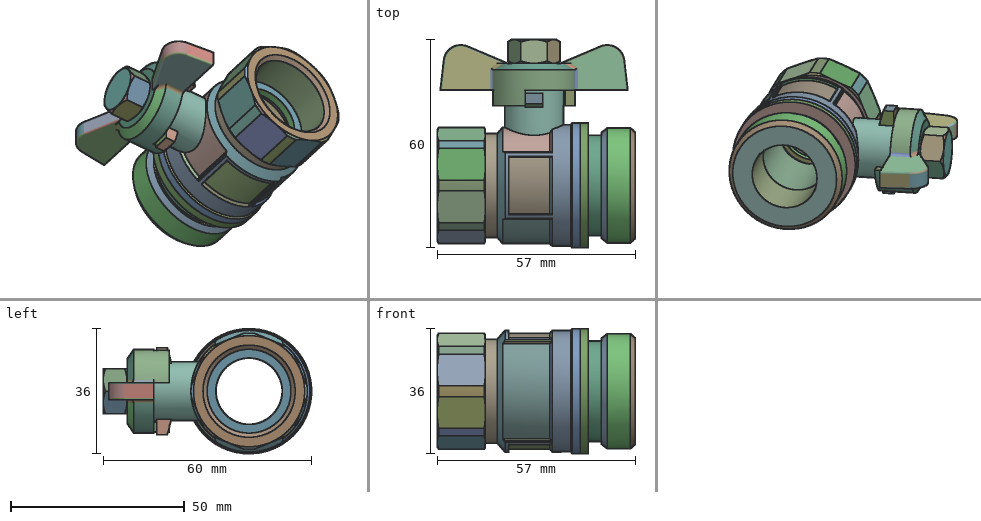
import cadquery as cq
import math


BORE_DIA = 19.0
THREAD_DIA = 24.1
THREAD_DEPTH = 12.25
THREAD_CHAMFER = 1.2
CHAMBER_DIA = 22.0
CHAMBER_START = 14.5
CHAMBER_CONE_START = 16.45

COLLAR_LENGTH = 13.8
COLLAR_FLATS = 8
COLLAR_ACROSS_FLATS = 32.0
COLLAR_DIA = 33.5
COLLAR_FRONT_DIA = 32.0
COLLAR_FRONT_CHAMFER = 0.4
COLLAR_BACK_DIA = 32.2
COLLAR_BACK_CHAMFER = 0.3
NECK_DIA = 30.0
NECK_END = 17.3
BARREL_START = 19.5
BARREL_DIA = 35.0
BARREL_END = 38.4
FLANGE_DIA = 36.0
FLANGE_CHAMFER = 0.4
SPLIT_X = 41.15

RECESS_DIA = 33.5
RECESS_START = 17.4
RECESS_END = 33.1
FRAME_WIDTH = 19.45
PANEL_WIDTH = 16.3
PANEL_START = 20.5
FRAME_FLARE_ANGLE = 30.0
FRAME_FLARE_START = 14.2
PANEL_FLARE_START = 15.0

STEM_X = 27.85
BOSS_DIA = 17.0
HANDLE_BOTTOM_Y = 27.4
STOP_WIDTH = 5.1
STOP_REACH = 12.55
STOP_TOP_Y = 26.6
STOP_OUTER_Y = 23.5
STOP_INNER_Y = 22.45

TAIL_FLANGE_END = 43.5
TAIL_NECK_DIA = 29.0
TAIL_NECK_END = 47.2
TAIL_DIA = 33.2
TAIL_SHOULDER_DIA = 30.5
TAIL_SHOULDER_END = 48.95
TAIL_CHAMFER_START = 55.55
TAIL_FACE_DIA = 30.5
TOTAL_LENGTH = 57.0

CAP_DIA = 24.1
CAP_TOP_DIA = 18.5
CAP_TOP_Y = 35.1
CAP_CHAMFER_Y = 33.25
SKIRT_BORE_DIA = 18.5
SKIRT_BOTTOM_Y = 22.9
SKIRT_OFFSET = 2.4
WING_THICKNESS = 5.0
WING_SPAN = 54.0
WING_TIP_X = 21.05
WING_TIP_Y = 40.45
WING_TIP_RADIUS = 5.0
WING_SLOPE = 23.0
WING_END_LEAN = 5.5
WING_EDGE_FILLET = 0.5
WING_ROOT_FILLET = 1.0

NUT_SIDES = 6
NUT_ACROSS_FLATS = 13.0
NUT_FACE_DIA = 12.9
NUT_CHAMFER_ANGLE = 33.0
NUT_TOP_Y = 42.0

SELECT_MARGIN = 0.3

PIPE_DIR = cq.Vector(1, 0, 0)
STEM_DIR = cq.Vector(0, 1, 0)


def pipe_revolve(profile):
    """Revolve a closed (x, radius) outline about the pipe axis."""
    return cq.Workplane("XY").polyline(profile).close().revolve(360, (0, 0, 0), (1, 0, 0))


def stem_revolve(profile):
    """Revolve a closed (radius, y) outline about the stem axis."""
    plane = cq.Workplane("XY", origin=(STEM_X, 0, 0))
    return plane.polyline(profile).close().revolve(360, (0, 0, 0), (0, 1, 0))


def pipe_cylinder(dia, start, end):
    return cq.Workplane(cq.Solid.makeCylinder(dia / 2, end - start, cq.Vector(start, 0, 0), PIPE_DIR))


def stem_cylinder(dia, start, end):
    return cq.Workplane(cq.Solid.makeCylinder(dia / 2, end - start, cq.Vector(STEM_X, start, 0), STEM_DIR))


def box(x_range, y_range, z_range):
    """Box given by its lower and upper limit along each axis."""
    sizes = [high - low for low, high in (x_range, y_range, z_range)]
    corner = cq.Vector(x_range[0], y_range[0], z_range[0])
    return cq.Workplane(cq.Solid.makeBox(*sizes, corner))


def make_collar():
    """Eight-sided wrench collar with rounded corners and chamfered ends."""
    corner_dia = COLLAR_ACROSS_FLATS / math.cos(math.pi / COLLAR_FLATS)
    prism = cq.Workplane("YZ").polygon(COLLAR_FLATS, corner_dia).extrude(COLLAR_LENGTH)
    envelope = pipe_revolve([
        (0, 0),
        (0, COLLAR_FRONT_DIA / 2),
        (COLLAR_FRONT_CHAMFER, COLLAR_DIA / 2),
        (COLLAR_LENGTH - COLLAR_BACK_CHAMFER, COLLAR_DIA / 2),
        (COLLAR_LENGTH, COLLAR_BACK_DIA / 2),
        (COLLAR_LENGTH, 0),
    ])
    return prism.intersect(envelope)


def make_barrel():
    """Neck, ball chamber barrel and the housing's half of the flange."""
    return pipe_revolve([
        (COLLAR_LENGTH, 0),
        (COLLAR_LENGTH, NECK_DIA / 2),
        (NECK_END, NECK_DIA / 2),
        (BARREL_START, BARREL_DIA / 2),
        (BARREL_END, BARREL_DIA / 2),
        (BARREL_END + FLANGE_CHAMFER, FLANGE_DIA / 2),
        (SPLIT_X, FLANGE_DIA / 2),
        (SPLIT_X, 0),
    ])


def flared_prism(start_x, width, flare_start, flare_angle):
    """Prism through the barrel along Z, up to the recess end, whose sides tilt outward
    by the flare angle (inward if negative) above and below the flare start."""
    half_width = width / 2
    top = BARREL_DIA / 2
    top_half = half_width + (top - flare_start) * math.tan(math.radians(flare_angle))
    return (
        cq.Workplane("YZ", origin=(start_x, 0, 0))
        .polyline([
            (-half_width, -flare_start),
            (-top_half, -top),
            (top_half, -top),
            (half_width, -flare_start),
            (half_width, flare_start),
            (top_half, top),
            (-top_half, top),
            (-half_width, flare_start),
        ])
        .close()
        .extrude(RECESS_END - start_x)
    )


def make_barrel_recess():
    """Shallow ring to cut from the barrel, leaving a raised frame above and below."""
    depth = (BARREL_DIA - RECESS_DIA) / 2
    ring = pipe_revolve([
        (RECESS_START, RECESS_DIA / 2),
        (RECESS_END - depth, RECESS_DIA / 2),
        (RECESS_END, BARREL_DIA / 2),
        (RECESS_END, BARREL_DIA),
        (RECESS_START, BARREL_DIA),
    ])
    frame = flared_prism(RECESS_START, FRAME_WIDTH, FRAME_FLARE_START, -FRAME_FLARE_ANGLE)
    panel = flared_prism(PANEL_START, PANEL_WIDTH, PANEL_FLARE_START, FRAME_FLARE_ANGLE)
    return ring.cut(frame.cut(panel))


def make_boss():
    """Stem boss with the two stops that limit the handle's turn."""
    boss = stem_cylinder(BOSS_DIA, 0, HANDLE_BOTTOM_Y)
    boss_radius = BOSS_DIA / 2
    stops = (
        cq.Workplane("YZ", origin=(STEM_X - STOP_WIDTH / 2, 0, 0))
        .polyline([
            (STOP_TOP_Y, -STOP_REACH),
            (STOP_TOP_Y, STOP_REACH),
            (STOP_OUTER_Y, STOP_REACH),
            (STOP_INNER_Y, boss_radius),
            (STOP_INNER_Y, -boss_radius),
            (STOP_OUTER_Y, -STOP_REACH),
        ])
        .close()
        .extrude(STOP_WIDTH)
    )
    return boss.union(stops)


def make_housing():
    """Housing with its threaded socket, the grooved chamber and the through bore."""
    housing = make_collar().union(make_barrel().cut(make_barrel_recess())).union(make_boss())
    chamber_end = CHAMBER_CONE_START + (CHAMBER_DIA - BORE_DIA) / 2
    thread = pipe_revolve([
        (0, 0),
        (0, THREAD_DIA / 2 + THREAD_CHAMFER),
        (THREAD_CHAMFER, THREAD_DIA / 2),
        (THREAD_DEPTH, THREAD_DIA / 2),
        (THREAD_DEPTH, 0),
    ])
    chamber = pipe_revolve([
        (CHAMBER_START, 0),
        (CHAMBER_START, CHAMBER_DIA / 2),
        (CHAMBER_CONE_START, CHAMBER_DIA / 2),
        (chamber_end, BORE_DIA / 2),
        (chamber_end, 0),
    ])
    return housing.cut(thread).cut(chamber).cut(pipe_cylinder(BORE_DIA, 0, SPLIT_X))


def make_tail():
    """Tail piece that closes the housing and carries the male end."""
    return pipe_revolve([
        (SPLIT_X, BORE_DIA / 2),
        (SPLIT_X, FLANGE_DIA / 2),
        (TAIL_FLANGE_END, FLANGE_DIA / 2),
        (TAIL_FLANGE_END, TAIL_NECK_DIA / 2),
        (TAIL_NECK_END, TAIL_NECK_DIA / 2),
        (TAIL_NECK_END, TAIL_SHOULDER_DIA / 2),
        (TAIL_SHOULDER_END, TAIL_DIA / 2),
        (TAIL_CHAMFER_START, TAIL_DIA / 2),
        (TOTAL_LENGTH, TAIL_FACE_DIA / 2),
        (TOTAL_LENGTH, BORE_DIA / 2),
    ])


def make_cap():
    """Round handle cap with a conical top and filleted stubs where the wings leave it.

    The cap starts taller, so that the fillets run past its top before that is cut flat.
    """
    cone_height = CAP_TOP_Y - CAP_CHAMFER_Y
    cone_inset = (CAP_DIA - CAP_TOP_DIA) / 2
    blank_top_y = CAP_TOP_Y + cone_height / 2
    cap = stem_revolve([
        (0, HANDLE_BOTTOM_Y),
        (CAP_DIA / 2, HANDLE_BOTTOM_Y),
        (CAP_DIA / 2, CAP_CHAMFER_Y),
        (CAP_TOP_DIA / 2 - cone_inset / 2, blank_top_y),
        (0, blank_top_y),
    ])
    stub_reach = CAP_DIA / 2 + WING_ROOT_FILLET
    half_wing = WING_THICKNESS / 2
    stubs = box(
        (STEM_X - stub_reach, STEM_X + stub_reach),
        (HANDLE_BOTTOM_Y, blank_top_y),
        (-half_wing, half_wing),
    )
    root_lines = cq.selectors.BoxSelector(
        (STEM_X - CAP_DIA / 2, HANDLE_BOTTOM_Y + SELECT_MARGIN, -half_wing - SELECT_MARGIN),
        (STEM_X + CAP_DIA / 2, blank_top_y - SELECT_MARGIN, half_wing + SELECT_MARGIN),
    )
    blank = cap.union(stubs).edges(root_lines).fillet(WING_ROOT_FILLET)
    above_top = box(
        (STEM_X - CAP_DIA, STEM_X + CAP_DIA), (CAP_TOP_Y, NUT_TOP_Y), (-CAP_DIA, CAP_DIA)
    )
    return blank.cut(above_top)


def make_wing():
    """Wing on the +X side of the stem, reaching in to the stem axis.

    Its upper outline is a sloping edge, a round tip and a leaning end, all with filleted rims.
    """
    slope = math.radians(WING_SLOPE)
    lean = math.radians(WING_END_LEAN)
    centre_x = WING_TIP_X
    centre_y = WING_TIP_Y - WING_TIP_RADIUS

    def tip_point(angle):
        return (centre_x + WING_TIP_RADIUS * math.cos(angle), centre_y + WING_TIP_RADIUS * math.sin(angle))

    top_angle = math.pi / 2 + slope
    arc_start = tip_point(top_angle)
    arc_end = tip_point(lean)
    root_y = arc_start[1] - arc_start[0] * math.tan(slope)
    outline = (
        cq.Workplane("XY", origin=(STEM_X, 0, -WING_THICKNESS / 2))
        .moveTo(0, HANDLE_BOTTOM_Y)
        .lineTo(0, root_y)
        .lineTo(*arc_start)
        .threePointArc(tip_point((top_angle + lean) / 2), arc_end)
        .lineTo(WING_SPAN / 2, HANDLE_BOTTOM_Y)
        .close()
        .extrude(WING_THICKNESS)
    )
    rim = outline.faces("|Z").edges("not(<X or <Y)")
    return rim.fillet(WING_EDGE_FILLET)


def make_skirt():
    """Two opposite skirt segments that stop against the housing's stops."""
    tube = stem_cylinder(CAP_DIA, SKIRT_BOTTOM_Y, HANDLE_BOTTOM_Y)
    tube = tube.cut(stem_cylinder(SKIRT_BORE_DIA, SKIRT_BOTTOM_Y, HANDLE_BOTTOM_Y))
    height = (SKIRT_BOTTOM_Y, HANDLE_BOTTOM_Y)
    inner_x = STOP_WIDTH / 2
    left = box((STEM_X - CAP_DIA, STEM_X - inner_x), height, (SKIRT_OFFSET, CAP_DIA))
    right = box((STEM_X + inner_x, STEM_X + CAP_DIA), height, (-CAP_DIA, -SKIRT_OFFSET))
    return tube.intersect(left.union(right))


def make_handle():
    """Butterfly handle: cap, two wings and the stop skirt."""
    wing = make_wing()
    handle = make_cap().union(wing).union(wing.mirror("YZ", (STEM_X, 0, 0)))
    return handle.union(make_skirt())


def make_nut():
    """Hexagon nut with both ends chamfered."""
    corner_dia = NUT_ACROSS_FLATS / math.cos(math.pi / NUT_SIDES)
    prism = (
        cq.Workplane("XZ", origin=(STEM_X, CAP_TOP_Y, 0))
        .polygon(NUT_SIDES, corner_dia)
        .extrude(CAP_TOP_Y - NUT_TOP_Y)
    )
    drop = (corner_dia - NUT_FACE_DIA) / 2 * math.tan(math.radians(NUT_CHAMFER_ANGLE))
    envelope = stem_revolve([
        (0, CAP_TOP_Y),
        (NUT_FACE_DIA / 2, CAP_TOP_Y),
        (corner_dia / 2, CAP_TOP_Y + drop),
        (corner_dia / 2, NUT_TOP_Y - drop),
        (NUT_FACE_DIA / 2, NUT_TOP_Y),
        (0, NUT_TOP_Y),
    ])
    return prism.intersect(envelope)


housing = make_housing()
tail = make_tail()
handle = make_handle()
nut = make_nut()
result = cq.Compound.makeCompound([housing.val(), tail.val(), handle.val(), nut.val()])